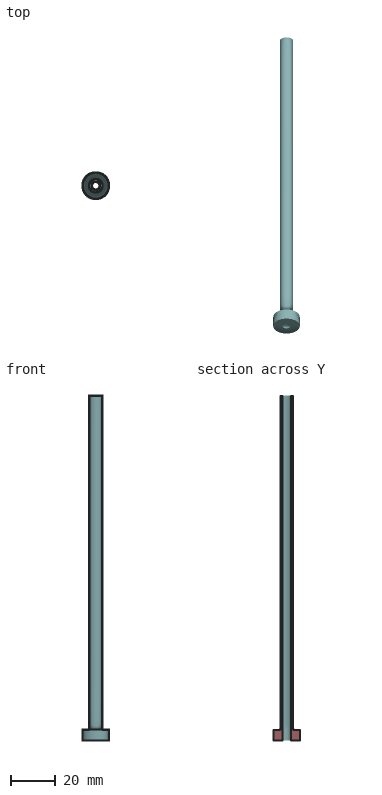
import cadquery as cq

total_length = 155.0
head_diameter = 12.0
head_height = 5.0
tube_diameter = 6.0
bore_diameter = 3.5
root_fillet = 0.3

head_radius = head_diameter / 2
tube_radius = tube_diameter / 2
bore_radius = bore_diameter / 2
fillet_top = head_height + root_fillet

half_section = (
    cq.Workplane("XZ")
    .moveTo(bore_radius, 0)
    .lineTo(head_radius, 0)
    .lineTo(head_radius, head_height)
    .lineTo(tube_radius + root_fillet, head_height)
    .radiusArc((tube_radius, fillet_top), root_fillet)
    .lineTo(tube_radius, total_length)
    .lineTo(bore_radius, total_length)
    .close()
)

result = half_section.revolve(360, (0, 0, 0), (0, 1, 0))